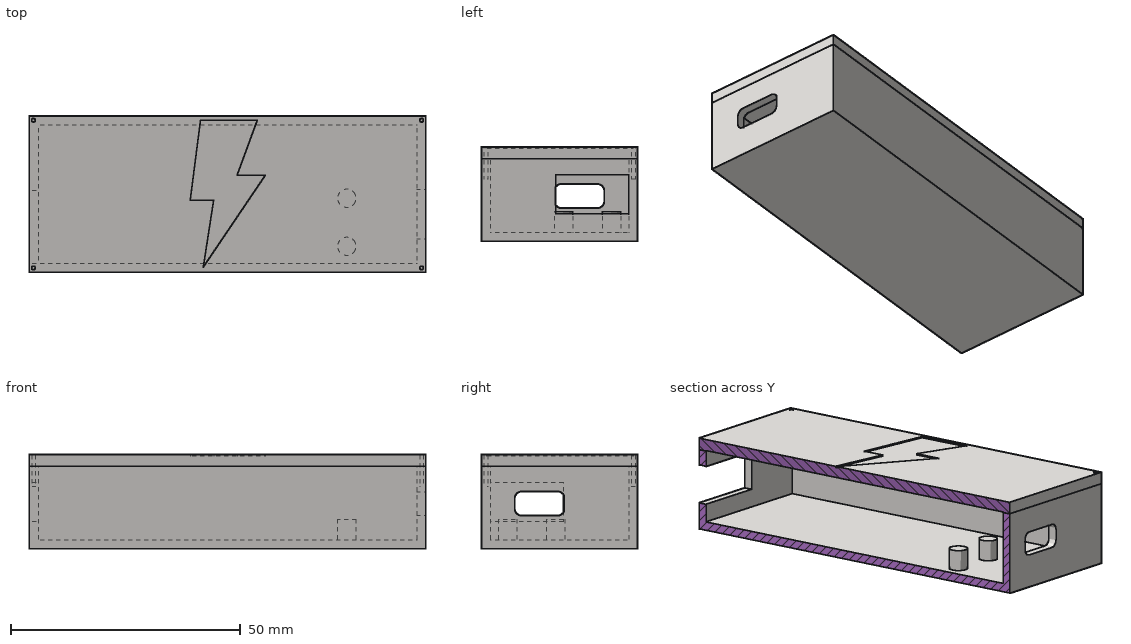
import cadquery as cq

LENGTH = 86.3
WIDTH = 34.0
HEIGHT = 20.5
LID_THICKNESS = 2.6
WALL = 2.0
FLOOR = 2.0
HOUSING_HEIGHT = HEIGHT - LID_THICKNESS

SCREW_DIAMETER = 0.8
SCREW_INSET = 0.95
SCREW_DEPTH = 4.3

PORT_WIDTH = 15.9
PORT_HEIGHT = 8.5
PORT_BOTTOM = 5.95
INNER_Y_MIN = -WIDTH / 2 + WALL
PORT_Y = INNER_Y_MIN + PORT_WIDTH / 2

SOCKET_WIDTH = 10.8
SOCKET_HEIGHT = 5.2
SOCKET_RADIUS = 1.5
SOCKET_Y = -4.3
SOCKET_Z = 9.8

STANDOFF_DIAMETER = 4.0
STANDOFF_TOP = 6.5
STANDOFF_X = 25.9
STANDOFF_YS = (-11.3, -0.9)

BOLT_DEPTH = 0.3
BOLT_OUTLINE = [
    (-5.9, 16.05),
    (6.5, 16.05),
    (2.1, 4.05),
    (8.2, 4.05),
    (-5.3, -15.9),
    (-3.0, -1.4),
    (-8.1, -1.4),
]

screw_points = [
    (x_side * (LENGTH / 2 - SCREW_INSET), y_side * (WIDTH / 2 - SCREW_INSET))
    for x_side in (-1, 1)
    for y_side in (-1, 1)
]


def end_opening(x_side, width, height, y, z):
    """Cutter through the end wall on the given X side."""
    x = x_side * (LENGTH / 2 - WALL / 2)
    return cq.Workplane("XY").box(2 * WALL, width, height).translate((x, y, z))


def screw_holes(bottom, depth):
    """Four corner hole cutters rising from the given height."""
    return (
        cq.Workplane("XY", origin=(0, 0, bottom))
        .pushPoints(screw_points)
        .circle(SCREW_DIAMETER / 2)
        .extrude(depth)
    )


def make_housing():
    """Open-topped box with end openings, standoffs and screw holes."""
    outer = cq.Workplane("XY").rect(LENGTH, WIDTH).extrude(HOUSING_HEIGHT)
    cavity = (
        cq.Workplane("XY", origin=(0, 0, FLOOR))
        .rect(LENGTH - 2 * WALL, WIDTH - 2 * WALL)
        .extrude(HOUSING_HEIGHT - FLOOR)
    )
    standoffs = (
        cq.Workplane("XY")
        .pushPoints([(STANDOFF_X, y) for y in STANDOFF_YS])
        .circle(STANDOFF_DIAMETER / 2)
        .extrude(STANDOFF_TOP)
    )
    port = end_opening(-1, PORT_WIDTH, PORT_HEIGHT, PORT_Y, PORT_BOTTOM + PORT_HEIGHT / 2)
    socket = end_opening(1, SOCKET_WIDTH, SOCKET_HEIGHT, SOCKET_Y, SOCKET_Z)
    socket = socket.edges("|X").fillet(SOCKET_RADIUS)
    holes = screw_holes(HOUSING_HEIGHT - SCREW_DEPTH, SCREW_DEPTH)
    return outer.cut(cavity).union(standoffs).cut(port).cut(socket).cut(holes)


def make_lid():
    """Flat lid with the bolt recess and through screw holes."""
    plate = cq.Workplane("XY", origin=(0, 0, HOUSING_HEIGHT)).rect(LENGTH, WIDTH).extrude(LID_THICKNESS)
    bolt = cq.Workplane("XY", origin=(0, 0, HEIGHT)).polyline(BOLT_OUTLINE).close().extrude(-BOLT_DEPTH)
    return plate.cut(bolt).cut(screw_holes(HOUSING_HEIGHT, LID_THICKNESS))


housing = make_housing()
lid = make_lid()
result = cq.Compound.makeCompound([housing.val(), lid.val()])